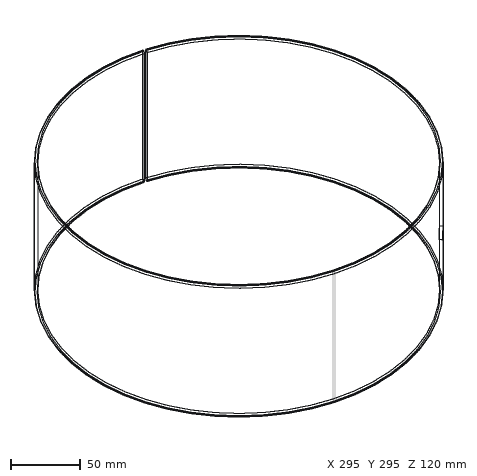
import cadquery as cq

outer_diameter = 295
height = 120.0
wall = 2.7
chamfer_depth = 0.5
chamfer_height = 1.8

split_width = 2.5
split_offset = 1.2

hole_diameter = 10.0
hole_angle = 59

outer_radius = outer_diameter / 2


def ring_body():
    """Tube centred on the origin, revolved from a wall section with all four corners chamfered."""
    section = (
        cq.Workplane("XZ")
        .center(outer_radius - wall / 2, 0)
        .polyline(
            [
                (-wall / 2, chamfer_height - height / 2),
                (chamfer_depth - wall / 2, -height / 2),
                (wall / 2 - chamfer_depth, -height / 2),
                (wall / 2, chamfer_height - height / 2),
                (wall / 2, height / 2 - chamfer_height),
                (wall / 2 - chamfer_depth, height / 2),
                (chamfer_depth - wall / 2, height / 2),
                (-wall / 2, height / 2 - chamfer_height),
            ]
        )
        .close()
    )
    axis_x = wall / 2 - outer_radius
    return section.revolve(360, (axis_x, 0, 0), (axis_x, 1, 0))


def split_cutter():
    """Full-height slab that opens the ring along its -X side."""
    slab = cq.Workplane("XY").box(2 * wall, split_width, height)
    return slab.translate((wall - outer_radius, split_offset, 0))


def hole_cutter():
    """Radial cylinder reaching from the axis through one side of the wall."""
    cylinder = cq.Workplane("YZ").circle(hole_diameter / 2).extrude(outer_radius + wall)
    return cylinder.rotate((0, 0, 0), (0, 0, 1), hole_angle)


result = ring_body().cut(split_cutter()).cut(hole_cutter())